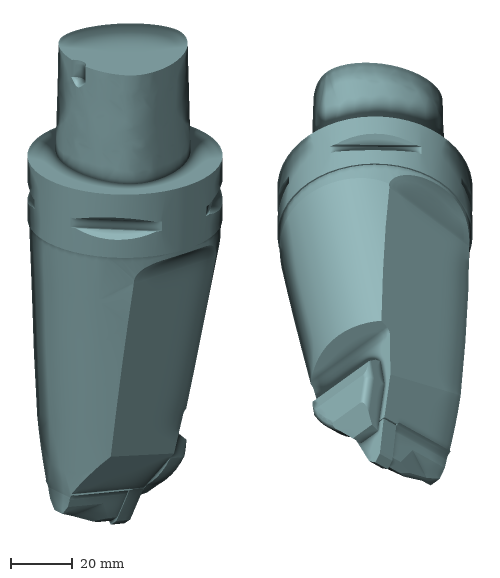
import cadquery as cq
import math


shank_height = 38.0
lobe_mean_radius = 21.8
lobe_height = 1.3
shank_taper = 1 / 40
lobe_points = 48

notch_radius = 4.2
notch_depth = 6.0
notch_axis_y = -21.7

flange_height = 22.3
flange_radius = 31.5
slot_floor_distance = 27.9
slot_wall_height = 0.8
slot_middle_z = -12.1
slot_floor_height = 3.4
slot_side_angle = 38

neck_bottom_z = -131
neck_top_radius = 31.0
neck_bottom_radius = 27.4
back_radius = 32.8
back_lean = 14.1
back_edge_y = 31.5
back_edge_z = -24.4

shoulder_radius = 8.7
shoulder_top_z = -23.4
left_flat_start_x = 24.5
right_flat_start_x = 25.5
left_flat_angle = 10
right_flat_angle = 6

left_facet = [(-14.3, -25.4, -90.0), (-12.3, 5.0, -101.6), (-7.2, 3.0, -114.9)]
right_facet = [(19.0, -19.2, -94.5), (6.4, -27.0, -109.9), (7.2, 3.0, -115.0)]

rake_angle = 11
nose_y = -0.2
nose_z = -130.0

insert_thickness = 5.9
insert_top_v = 14.1
nose_half_width = 2.9
nose_start_v = 3.4
nose_corner_half_width = 2.4
nose_corner_v = 2.0
wedge_half_angle = 18.5

shelf_v = 14.5
holder_nose_inset = 0.3
holder_nose_bottom_v = 1.3
shelf_groove_radius = 2.4
underside_angle = 26.6
underside_back_y = -28.2
underside_back_z = -118.1
relief_edge = (4.0, 8.7, 16.0)
relief_front = (2.4, 4.0, 13.0)
relief_keel = (0.5, 4.2, 25.2)

ledge_y = 17.1
ledge_z = -82.8
ledge_angle = 17
ledge_fillet = 2.5

clamp_height = 7.4
clamp_fillet = 2.4
clamp_left = 9.2
clamp_right = 16.8
clamp_tip_half_width = 2.5
clamp_outline_top_v = 38.6
clamp_outline_bottom_v = 8.4
clamp_side_profile = [
    (36.3, -1.7),
    (36.3, 0),
    (35.8, 2.5),
    (33.6, 5.9),
    (28.5, clamp_height),
    (18.8, clamp_height),
    (12.0, 3.0),
    (11.0, 0),
    (11.0, -1.7),
]

reach = 100.8


def tool_plane(depth=0):
    """Plane parallel to the rake face, with its normal pointing into the neck."""
    tilt = math.radians(rake_angle)
    inward = (0, -math.cos(tilt), math.sin(tilt))
    origin = (0, nose_y + depth * inward[1], nose_z + depth * inward[2])
    return cq.Plane(origin=origin, xDir=(1, 0, 0), normal=inward)


def tool_point(u, v, depth):
    """Position of a point given in the tool frame."""
    return tool_plane().toWorldCoords((u, v, depth)).toTuple()


def lobed_outline(z, mean_radius):
    """Closed three-lobed curve of constant width, with one lobe toward +Y."""

    def point(t):
        angle = 2 * math.pi * t
        support = mean_radius + lobe_height * math.cos(3 * angle)
        slope = -3 * lobe_height * math.sin(3 * angle)
        along_y = support * math.cos(angle) - slope * math.sin(angle)
        along_x = support * math.sin(angle) + slope * math.cos(angle)
        return cq.Vector(along_x, along_y, z)

    points = [point(i / lobe_points) for i in range(lobe_points)]
    return cq.Wire.assembleEdges([cq.Edge.makeSpline(points, periodic=True)])


def make_shank():
    top_radius = lobe_mean_radius - shank_height * shank_taper
    bottom = lobed_outline(0, lobe_mean_radius)
    top = lobed_outline(shank_height, top_radius)
    shank = cq.Workplane(cq.Solid.makeLoft([bottom, top], True))
    profile = [
        (0, shank_height),
        (notch_radius, shank_height),
        (notch_radius, shank_height - notch_depth),
        (0, shank_height - notch_depth - notch_radius),
    ]
    drill = cq.Workplane("XZ").polyline(profile).close().revolve(360, (0, 0, 0), (0, 1, 0))
    return shank.cut(drill.translate((0, notch_axis_y, 0)))


def make_flange():
    flange = cq.Workplane("XY").circle(flange_radius).extrude(-flange_height)
    outer_x = flange_radius + 1.7
    floor_half = slot_floor_height / 2
    wall_x = slot_floor_distance + slot_wall_height
    mouth_half = floor_half + (outer_x - wall_x) * math.tan(math.radians(slot_side_angle))
    section = [
        (slot_floor_distance, slot_middle_z - floor_half),
        (wall_x, slot_middle_z - floor_half),
        (outer_x, slot_middle_z - mouth_half),
        (outer_x, slot_middle_z + mouth_half),
        (wall_x, slot_middle_z + floor_half),
        (slot_floor_distance, slot_middle_z + floor_half),
    ]
    slot = cq.Workplane("XZ").polyline(section).close().extrude(reach / 2, both=True)
    for angle in (45, 135, 225, 315):
        flange = flange.cut(slot.rotate((0, 0, 0), (0, 0, 1), angle))
    return flange


def flat_side_cutter(side, flat_start_x, angle):
    """Block beyond one flat of the neck; side is -1 for -X and 1 for +X."""
    tangent_z = shoulder_top_z - shoulder_radius
    middle = shoulder_radius * math.sqrt(0.5)
    center_x = flat_start_x + shoulder_radius
    end_x = flat_start_x - (tangent_z - neck_bottom_z) * math.tan(math.radians(angle))
    return (
        cq.Workplane("XZ")
        .moveTo(side * end_x, neck_bottom_z)
        .lineTo(side * flat_start_x, tangent_z)
        .threePointArc((side * (center_x - middle), tangent_z + middle), (side * center_x, shoulder_top_z))
        .lineTo(side * reach, shoulder_top_z)
        .lineTo(side * reach, neck_bottom_z)
        .close()
        .extrude(reach, both=True)
    )


def block_beyond(points, outward):
    """Large block on the outward side of the plane through three points."""
    first, second, third = [cq.Vector(*point) for point in points]
    normal = (second - first).cross(third - first)
    if normal.dot(cq.Vector(*outward)) < 0:
        normal = normal * -1
    plane = cq.Plane(origin=first, xDir=second - first, normal=normal)
    return cq.Workplane(plane).rect(2 * reach, 2 * reach).extrude(reach)


def block_below_shelf():
    return cq.Workplane(tool_plane(-reach)).rect(2 * reach, 2 * shelf_v).extrude(2 * reach)


def leaning_back():
    """Cylinder whose +Y edge leans toward -Y going down."""
    lean = math.radians(back_lean)
    axis = (0, math.sin(lean), math.cos(lean))
    center_y = back_edge_y - back_radius * math.cos(lean)
    center_z = back_edge_z + back_radius * math.sin(lean)
    plane = cq.Plane(origin=(0, center_y, center_z), xDir=(1, 0, 0), normal=axis)
    return cq.Workplane(plane).circle(back_radius).extrude(2 * reach, both=True)


def rake_cutter():
    """Space in front of the rake face, under the ledge on the +Y side."""
    rake_slope = math.tan(math.radians(rake_angle))
    ledge_slope = math.tan(math.radians(ledge_angle))
    rake_y_at_ledge = nose_y + (ledge_z - nose_z) * rake_slope
    corner_y = ledge_y - (ledge_y - rake_y_at_ledge) / (1 - ledge_slope * rake_slope)
    corner_z = ledge_z - (ledge_y - corner_y) * ledge_slope
    low_z = nose_z - reach
    outline = [
        (corner_y, corner_z),
        (reach, corner_z + (reach - corner_y) * ledge_slope),
        (reach, low_z),
        (nose_y - reach * rake_slope, low_z),
    ]
    cutter = cq.Workplane("YZ").polyline(outline).close().extrude(reach, both=True)
    corner = cq.selectors.NearestToPointSelector((0, corner_y, corner_z))
    return cutter.edges("|X").edges(corner).fillet(ledge_fillet)


def make_neck():
    profile = [
        (0, -flange_height),
        (neck_top_radius, -flange_height),
        (neck_bottom_radius, neck_bottom_z),
        (0, neck_bottom_z),
    ]
    neck = cq.Workplane("XZ").polyline(profile).close().revolve(360, (0, 0, 0), (0, 1, 0))
    neck = neck.intersect(leaning_back())
    neck = neck.cut(flat_side_cutter(-1, left_flat_start_x, left_flat_angle))
    neck = neck.cut(flat_side_cutter(1, right_flat_start_x, right_flat_angle))
    for facet in (left_facet, right_facet):
        neck = neck.cut(block_beyond(facet, (0, 0, -1)).cut(block_below_shelf()))
    return neck.cut(rake_cutter())


def wedge_width(v):
    """Half width of the insert at height v above its nose."""
    return nose_half_width + (v - nose_start_v) * math.tan(math.radians(wedge_half_angle))


def make_insert():
    right_half = [
        (nose_corner_half_width, nose_corner_v),
        (nose_half_width, nose_start_v),
        (wedge_width(insert_top_v), insert_top_v),
    ]
    left_half = [(-u, v) for u, v in reversed(right_half)]
    outline = left_half + [(0, 0)] + right_half
    return cq.Workplane(tool_plane()).polyline(outline).close().extrude(insert_thickness)


def holder_nose_envelope():
    """Wedge that bounds the holder below the shelf, behind the insert."""
    groove_v = shelf_v - shelf_groove_radius
    groove_half = wedge_width(groove_v) - holder_nose_inset
    shelf_half = groove_half + shelf_groove_radius
    middle = shelf_groove_radius * (1 - math.sqrt(0.5))
    tip_half = nose_half_width - holder_nose_inset
    return (
        cq.Workplane(tool_plane(insert_thickness))
        .moveTo(-shelf_half, shelf_v)
        .threePointArc((-groove_half - middle, shelf_v - middle), (-groove_half, groove_v))
        .lineTo(-tip_half, nose_start_v)
        .lineTo(0, holder_nose_bottom_v)
        .lineTo(tip_half, nose_start_v)
        .lineTo(groove_half, groove_v)
        .threePointArc((groove_half + middle, shelf_v - middle), (shelf_half, shelf_v))
        .close()
        .extrude(reach)
    )


def shape_holder_nose(neck):
    neck = neck.cut(block_below_shelf().cut(holder_nose_envelope()))
    slope = math.tan(math.radians(underside_angle))
    low_z = underside_back_z - reach * slope
    high_z = underside_back_z + reach * slope
    underside = [
        (underside_back_y + reach, low_z),
        (underside_back_y - reach, high_z),
        (underside_back_y - reach, low_z),
    ]
    neck = neck.cut(cq.Workplane("YZ").polyline(underside).close().extrude(reach, both=True))
    for side in (-1, 1):
        edge, front, keel = [
            tool_point(side * u, v, depth) for u, v, depth in (relief_edge, relief_front, relief_keel)
        ]
        roof_edge = tool_point(side * relief_edge[0], relief_edge[1], 0)
        beyond_wall = block_beyond((edge, front, keel), (side, 0, 0))
        below_roof = block_beyond((edge, roof_edge, keel), (0, 0, -1))
        neck = neck.cut(beyond_wall.intersect(below_roof))
    return neck


def make_clamp():
    """Rounded clamp head standing on the rake face."""
    frame = tool_plane()
    head = (
        cq.Workplane(frame)
        .moveTo(-clamp_left, clamp_outline_top_v)
        .lineTo(-clamp_left, 26.5)
        .lineTo(-4.4, 14.1)
        .lineTo(-clamp_tip_half_width, clamp_outline_bottom_v)
        .lineTo(clamp_tip_half_width, clamp_outline_bottom_v)
        .lineTo(7.7, 15.6)
        .threePointArc((12.8, 20.7), (clamp_right, 27.7))
        .lineTo(clamp_right, clamp_outline_top_v)
        .close()
        .extrude(-clamp_height)
    )
    outer_face = cq.selectors.DirectionMinMaxSelector(frame.zDir, False)
    head = head.faces(outer_face).edges().fillet(clamp_fillet)
    side_plane = cq.Plane(origin=frame.origin, xDir=frame.yDir, normal=-frame.xDir)
    side_profile = cq.Workplane(side_plane).polyline(clamp_side_profile).close()
    return head.intersect(side_profile.extrude(reach, both=True))


def make_holder(insert):
    neck = shape_holder_nose(make_neck())
    holder = make_flange().union(make_shank()).union(neck).union(make_clamp())
    return holder.cut(insert)


insert = make_insert()
holder = make_holder(insert)

result = cq.Compound.makeCompound([holder.val(), insert.val()])